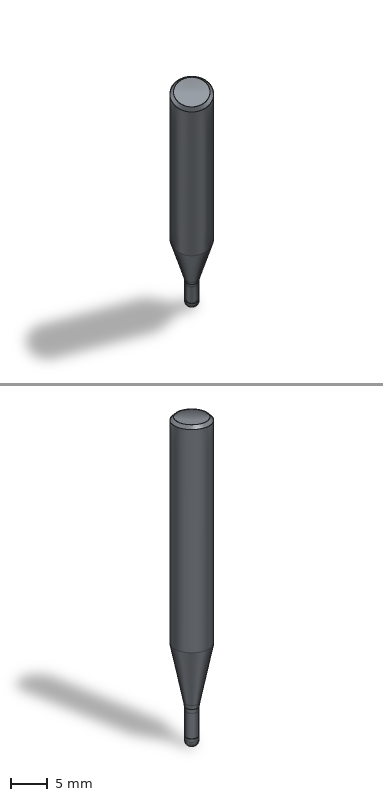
import cadquery as cq
import math

overall_length = 50.0

shank_radius = 3.0
shank_end_chamfer = 0.5
taper_angle = math.radians(12)

ball_radius = 1.0
cutting_length = 1.5
neck_relief = 0.03
neck_radius = ball_radius - neck_relief

reach = 6.0
blend_radius = 6.0
blend_center_radius = neck_radius + blend_radius
reach_angle = math.acos((blend_center_radius - ball_radius) / blend_radius)
blend_start = reach - blend_radius * math.sin(reach_angle)


def blend_point(angle):
    """Radius and height on the blend, by its angle of turn away from the neck."""
    radius = blend_center_radius - blend_radius * math.cos(angle)
    height = blend_start + blend_radius * math.sin(angle)
    return radius, height


def add_blend_arc(profile, start_angle, end_angle):
    middle_angle = (start_angle + end_angle) / 2
    return profile.threePointArc(blend_point(middle_angle), blend_point(end_angle))


def revolve_about_axis(profile):
    """Turn a closed radius and height profile into a solid around the Z axis."""
    return profile.close().revolve(360, (0, 0, 0), (0, 1, 0))


def make_cutting_head():
    """Ball nose, land, neck and the lower part of the blend, up to the reach."""
    ball_mid_offset = ball_radius * math.sqrt(0.5)
    profile = (
        cq.Workplane("XZ")
        .moveTo(0, 0)
        .threePointArc((ball_mid_offset, ball_radius - ball_mid_offset), (ball_radius, ball_radius))
        .lineTo(ball_radius, cutting_length)
        .lineTo(neck_radius, cutting_length + neck_relief)
        .lineTo(neck_radius, blend_start)
    )
    profile = add_blend_arc(profile, 0, reach_angle)
    return revolve_about_axis(profile.lineTo(0, reach))


def make_shank():
    """Upper part of the blend, taper and the cylinder with its chamfered end."""
    taper_start_radius, taper_start = blend_point(taper_angle)
    taper_end = taper_start + (shank_radius - taper_start_radius) / math.tan(taper_angle)

    profile = cq.Workplane("XZ").moveTo(0, reach).lineTo(ball_radius, reach)
    profile = add_blend_arc(profile, reach_angle, taper_angle)
    profile = (
        profile.lineTo(shank_radius, taper_end)
        .lineTo(shank_radius, overall_length - shank_end_chamfer)
        .lineTo(shank_radius - shank_end_chamfer, overall_length)
        .lineTo(0, overall_length)
    )
    return revolve_about_axis(profile)


cutting_head = make_cutting_head()
shank = make_shank()

result = cq.Compound.makeCompound([cutting_head.val(), shank.val()])